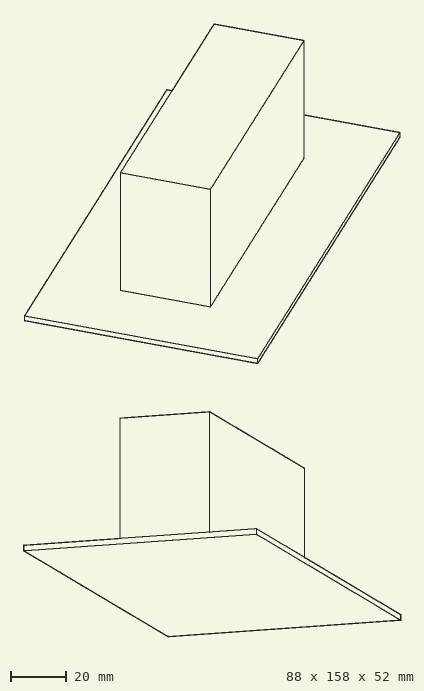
import cadquery as cq

plate_width = 88.0
plate_length = 158.0
plate_thickness = 2.0

overall_height = 52.0
flange_margin = 27.0
block_width = plate_width - 2 * flange_margin
block_length = plate_length - 2 * flange_margin

from_base = (True, True, False)
plate = cq.Workplane("XY").box(plate_width, plate_length, plate_thickness, centered=from_base)
block = cq.Workplane("XY").box(block_width, block_length, overall_height, centered=from_base)

result = plate.union(block)